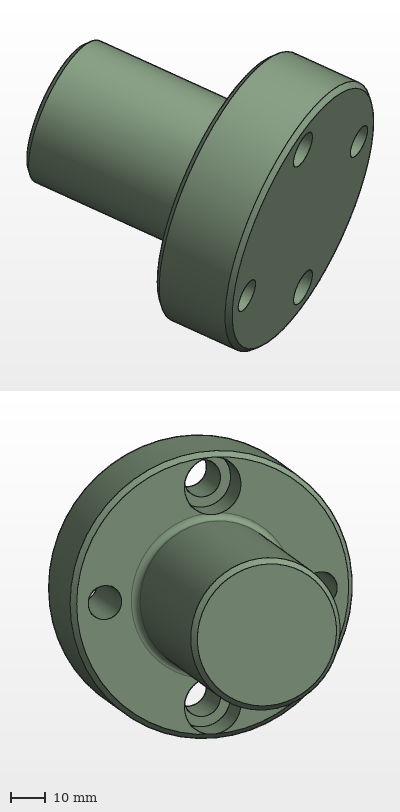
import cadquery as cq
import math

total_length = 80.0
flange_diameter = 85.0
flange_thickness = 25.0
shaft_diameter = 45.0
edge_chamfer = 1.5
root_fillet = 2.0

bolt_circle_radius = 32.5
screw_hole_diameter = 11.0
counterbore_diameter = 17.0
counterbore_depth = 10.5
pin_hole_diameter = 10.0

shaft_end_x = -total_length / 2
flange_back_x = total_length / 2
flange_face_x = flange_back_x - flange_thickness
shaft_radius = shaft_diameter / 2
flange_radius = flange_diameter / 2

fillet_start_x = flange_face_x - root_fillet
fillet_end_radius = shaft_radius + root_fillet
fillet_middle = (
    fillet_start_x + root_fillet * math.sin(math.pi / 4),
    fillet_end_radius - root_fillet * math.cos(math.pi / 4),
)
body = (
    cq.Workplane("XY")
    .moveTo(shaft_end_x, 0)
    .lineTo(shaft_end_x, shaft_radius - edge_chamfer)
    .lineTo(shaft_end_x + edge_chamfer, shaft_radius)
    .lineTo(fillet_start_x, shaft_radius)
    .threePointArc(fillet_middle, (flange_face_x, fillet_end_radius))
    .lineTo(flange_face_x, flange_radius - edge_chamfer)
    .lineTo(flange_face_x + edge_chamfer, flange_radius)
    .lineTo(flange_back_x - edge_chamfer, flange_radius)
    .lineTo(flange_back_x, flange_radius - edge_chamfer)
    .lineTo(flange_back_x, 0)
    .close()
    .revolve(360, (0, 0, 0), (1, 0, 0))
)


def holes_on_flange(centers, diameter, depth):
    """Round cutters sunk to depth below the flange face, also clearing the root fillet above it."""
    return (
        cq.Workplane("YZ", origin=(fillet_start_x, 0, 0))
        .pushPoints(centers)
        .circle(diameter / 2)
        .extrude(root_fillet + depth)
    )


screw_centers = [(0, side * bolt_circle_radius) for side in (-1, 1)]
pin_centers = [(side * bolt_circle_radius, 0) for side in (-1, 1)]

result = (
    body.cut(holes_on_flange(screw_centers, screw_hole_diameter, flange_thickness))
    .cut(holes_on_flange(screw_centers, counterbore_diameter, counterbore_depth))
    .cut(holes_on_flange(pin_centers, pin_hole_diameter, flange_thickness))
)